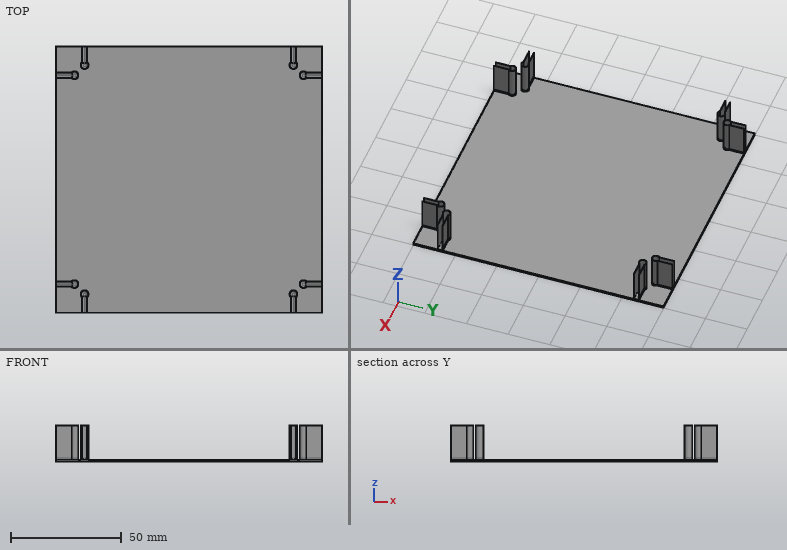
import cadquery as cq

plate_side = 120.0
plate_thickness = 1.0
total_height = 16.5

channel_width = 2.5
socket_diameter = 3.6
wall_thickness = 0.18
floor_fillet = 1.0
socket_from_edge = 8.4
holder_from_corner = 13.0

holder_height = total_height - plate_thickness
slot_width = channel_width - 2 * wall_thickness
bore_radius = socket_diameter / 2 - wall_thickness


def holder_body():
    """Solid holder on z = 0: a straight leg along +Y from the origin and a round end."""
    leg = cq.Workplane("XY").box(
        channel_width, socket_from_edge, holder_height, centered=(True, False, False)
    )
    head = cq.Workplane("XY").center(0, socket_from_edge).circle(socket_diameter / 2)
    return leg.union(head.extrude(holder_height))


def slot_cutter():
    """Straight slot along the leg with a rounded bottom touching z = 0."""
    slot = cq.Workplane("XY").box(
        slot_width, socket_from_edge, holder_height, centered=(True, False, False)
    )
    return slot.faces("<Z").edges("|Y").fillet(floor_fillet)


def bore_cutter():
    """Round bore of the socket, its floor edge rounded like the slot bottom."""
    bore = cq.Workplane("XY").center(0, socket_from_edge).circle(bore_radius).extrude(holder_height)
    return bore.faces("<Z").edges().fillet(floor_fillet)


def place_holder(holder, offset, turn):
    """Stand a holder on the plate at the -Y side, then turn it about Z to its own side."""
    moved = holder.translate((offset, -plate_side / 2, plate_thickness))
    return moved.rotate((0, 0, 0), (0, 0, 1), turn)


panel_holder = holder_body().cut(slot_cutter()).cut(bore_cutter())

result = cq.Workplane("XY").box(
    plate_side, plate_side, plate_thickness, centered=(True, True, False)
)

corner_offset = plate_side / 2 - holder_from_corner
for side_turn in (0, 90, 180, 270):
    for side_offset in (-corner_offset, corner_offset):
        result = result.union(place_holder(panel_holder, side_offset, side_turn))